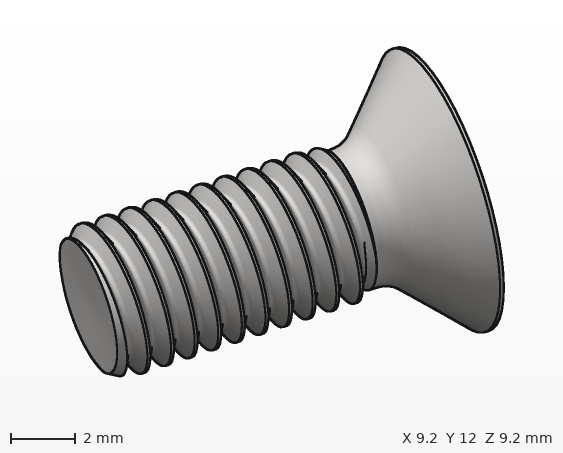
import cadquery as cq
import math

screw_length = 12.0
head_diameter = 9.2
head_radius = head_diameter / 2
head_rim_height = 0.13
thread_diameter = 5.0
thread_pitch = 0.8

countersink_angle = math.radians(45)

neck_radius = 2.25
neck_end = 3.25
neck_fillet_radius = 1.25

crest_radius = thread_diameter / 2
end_taper_angle = math.radians(30)
thread_start_radius = 2.3
tip_radius = 2.18
dish_radius = 2.07
dish_depth = 0.09

flank_angle = math.radians(30)
sharp_height = thread_pitch / 2 / math.tan(flank_angle)
root_fillet_radius = sharp_height / 6
root_radius = crest_radius - sharp_height * 17 / 24
crest_flat = thread_pitch / 8
groove_overlap = 0.04
groove_join_angle = 288
groove_start = 2.52


def make_head_and_neck():
    """Rim, countersink cone, neck fillet and neck, revolved about the Y axis.

    A 45 degree cone running to the axis ends the neck; most of it lies inside the
    thread core, and the rest fills the groove where the thread runs out.
    """
    half_angle = countersink_angle / 2
    corner_depth = head_rim_height + (head_radius - neck_radius) / math.tan(countersink_angle)
    fillet_tangent = neck_fillet_radius * math.tan(half_angle)
    cone_end_radius = neck_radius + fillet_tangent * math.sin(countersink_angle)
    cone_end_depth = corner_depth - fillet_tangent * math.cos(countersink_angle)
    fillet_end_depth = corner_depth + fillet_tangent
    fillet_middle_radius = neck_radius + neck_fillet_radius * (1 - math.cos(half_angle))
    fillet_middle_depth = fillet_end_depth - neck_fillet_radius * math.sin(half_angle)
    profile = (
        cq.Workplane("XY")
        .lineTo(head_radius, 0)
        .lineTo(head_radius, -head_rim_height)
        .lineTo(cone_end_radius, -cone_end_depth)
        .threePointArc((fillet_middle_radius, -fillet_middle_depth), (neck_radius, -fillet_end_depth))
        .lineTo(neck_radius, -neck_end)
        .lineTo(0, -neck_end - neck_radius)
        .close()
    )
    return profile.revolve(360, (0, 0, 0), (0, 1, 0))


def make_thread_blank():
    """Cylinder at the crest diameter, tapered at both ends, with a shallow conical dish in the tip."""
    start_taper = (crest_radius - thread_start_radius) / math.tan(end_taper_angle)
    tip_taper = (crest_radius - tip_radius) / math.tan(end_taper_angle)
    profile = (
        cq.Workplane("XY")
        .moveTo(0, -neck_end)
        .lineTo(thread_start_radius, -neck_end)
        .lineTo(crest_radius, -neck_end - start_taper)
        .lineTo(crest_radius, -screw_length + tip_taper)
        .lineTo(tip_radius, -screw_length)
        .lineTo(dish_radius, -screw_length)
        .lineTo(0, -screw_length + dish_depth)
        .close()
    )
    return profile.revolve(360, (0, 0, 0), (0, 1, 0))


def make_groove_turn():
    """One turn of a right-handed helical V groove with a rounded root, about the Z axis."""
    helix = cq.Wire.makeHelix(thread_pitch, thread_pitch, crest_radius)
    outer_radius = crest_radius + groove_overlap
    outer_half_width = (thread_pitch - crest_flat) / 2 + groove_overlap * math.tan(flank_angle)
    arc_half_width = root_fillet_radius * math.cos(flank_angle)
    arc_end_radius = root_radius + root_fillet_radius * (1 - math.sin(flank_angle))
    return (
        cq.Workplane("XZ")
        .moveTo(outer_radius, -outer_half_width)
        .lineTo(arc_end_radius, -arc_half_width)
        .threePointArc((root_radius, 0), (arc_end_radius, arc_half_width))
        .lineTo(outer_radius, outer_half_width)
        .close()
        .sweep(cq.Workplane(obj=helix), isFrenet=True)
    )


def cut_thread(blank):
    """Cut the groove turn after turn, from above the neck end to beyond the tip."""
    groove_turn = (
        make_groove_turn()
        .rotate((0, 0, 0), (0, 0, 1), groove_join_angle)
        .rotate((0, 0, 0), (1, 0, 0), 90)
    )
    turn_count = math.ceil((screw_length - groove_start) / thread_pitch) + 1
    threaded = blank
    for turn in range(turn_count):
        turn_start = groove_start + turn * thread_pitch
        threaded = threaded.cut(groove_turn.translate((0, -turn_start, 0)))
    return threaded


threaded_shank = cut_thread(make_thread_blank())
result = make_head_and_neck().union(threaded_shank).solids()